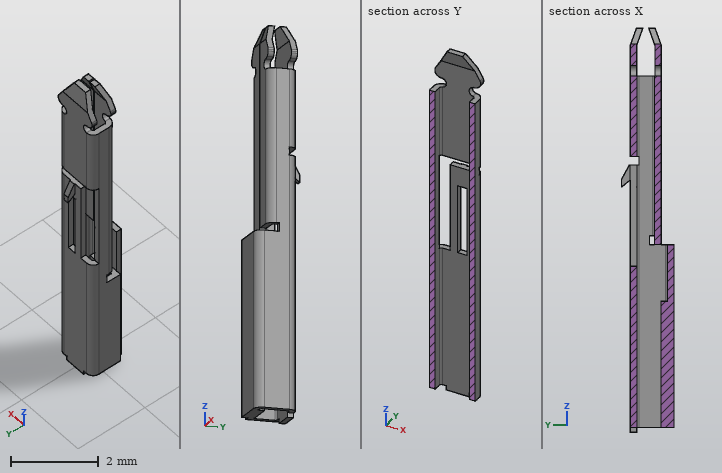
import cadquery as cq
import math


sheet = 0.15
width = 1.2
half_width = width / 2
outer_radius = 0.2
inner_radius = outer_radius - sheet
tube_depth = 0.71
box_depth = 1.0
outer_flap_inside = box_depth - sheet
inner_flap_inside = outer_flap_inside - sheet
inner_half_width = half_width - sheet
wall_split = 0.44
seam_width = 0.04

tip_top = 9.12
tip_bend = 8.73
tube_top = 8.03
right_front_end = 4.38
box_top = 4.18
left_corner_end = 3.14
inner_flap_top = 2.89
slit_top = 6.19
tongue_top = 6.0
tongue_root = 3.69

tip_half_width = 0.205
tip_inset = 0.14
shoulder_half_width = 0.585
shoulder_z = 8.5
lobe_widest_z = 8.41
lobe_end_half_width = 0.53
lobe_end_z = 8.3
lobe_bottom_z = 8.265
neck_half_width = half_width - outer_radius
notch_depth = 0.1

tongue_left = -0.2
slot_left = 0.0
slot_right = 0.24
barb_left = 0.01
barb_right = barb_left + sheet
barb_reach = 0.2
barb_ledge = 0.02
barb_outer_top = 5.67
barb_outer_bottom = 5.49
barb_root = 5.65

inner_flap_right = 0.3
outer_flap_left = -inner_half_width
end_tab_half_width = 0.3
end_tab_length = 0.11


def block(x_range, y_range, z_range):
    """Axis-aligned block between the given limits."""
    lows, highs = zip(x_range, y_range, z_range)
    size = [high - low for low, high in zip(lows, highs)]
    return cq.Workplane("XY").box(*size, centered=False).translate(lows)


def rounded_bar(bar_width, depth, back, radius, height):
    """Upright bar with rounded vertical edges, centred on X, from Z = 0 upward."""
    return (
        cq.Workplane("XY")
        .center(0, back - depth / 2)
        .rect(bar_width, depth)
        .extrude(height)
        .edges("|Z")
        .fillet(radius)
    )


def make_tube():
    """Rolled tube, with its front removed in steps towards the box."""
    tube = rounded_bar(width, tube_depth, 0, outer_radius, tube_top)
    bore = rounded_bar(2 * inner_half_width, tube_depth - 2 * sheet, -sheet, inner_radius, tube_top)
    front = (-tube_depth, -wall_split)
    right_relief = block((0, half_width), front, (0, right_front_end))
    front_relief = block((-inner_half_width, half_width), front, (0, box_top))
    corner_relief = block((-half_width, 0), front, (0, left_corner_end))
    return tube.cut(bore).cut(right_relief).cut(front_relief).cut(corner_relief)


def cut_tongue(body):
    """Free the tongue in the back wall: a slit above it, the left corner and a slot beside it."""
    back = (-outer_radius, 0)
    slit = block((-half_width, half_width), back, (tongue_top, slit_top))
    left_gap = block((-half_width, tongue_left), back, (tongue_root, tongue_top))
    right_slot = block((slot_left, slot_right), back, (tongue_root, barb_outer_bottom))
    return body.cut(slit).cut(left_gap).cut(right_slot)


def make_barb():
    """Plate standing out of the back of the tongue, with a sloped lead-in and an undercut."""
    return (
        cq.Workplane("YZ", origin=(barb_left, 0, 0))
        .moveTo(-sheet, tongue_top)
        .lineTo(barb_ledge, tongue_top)
        .lineTo(barb_reach, barb_outer_top)
        .lineTo(barb_reach, barb_outer_bottom)
        .lineTo(0, barb_root)
        .lineTo(-sheet, barb_root)
        .close()
        .extrude(barb_right - barb_left)
    )


def make_outer_wrap():
    """Right wall of the box, turned round the front corner into the outer flap."""
    bend = math.sqrt(0.5)
    bend_x = half_width - outer_radius
    bend_y = outer_radius - box_depth
    outer_mid = (bend_x + outer_radius * bend, bend_y - outer_radius * bend)
    inner_mid = (bend_x + inner_radius * bend, bend_y - inner_radius * bend)
    return (
        cq.Workplane("XY")
        .moveTo(half_width, -wall_split)
        .lineTo(half_width, bend_y)
        .threePointArc(outer_mid, (bend_x, -box_depth))
        .lineTo(outer_flap_left, -box_depth)
        .lineTo(outer_flap_left, -outer_flap_inside)
        .lineTo(bend_x, -outer_flap_inside)
        .threePointArc(inner_mid, (inner_half_width, bend_y))
        .lineTo(inner_half_width, -wall_split)
        .close()
        .extrude(box_top)
    )


def make_inner_wrap():
    """Left wall of the box with the square-cornered inner flap."""
    height = (0, inner_flap_top)
    wall = block((-half_width, -inner_half_width), (-outer_flap_inside, -wall_split), height)
    flap = block((-half_width, inner_flap_right), (-outer_flap_inside, -inner_flap_inside), height)
    return wall.union(flap)


def trace_tip_side(outline):
    """Draw the right side of the tip, from the top down to the tube."""
    notch_z = (lobe_bottom_z + tube_top) / 2
    return (
        outline
        .lineTo(shoulder_half_width, shoulder_z)
        .threePointArc((half_width, lobe_widest_z), (lobe_end_half_width, lobe_end_z))
        .tangentArcPoint((neck_half_width, lobe_bottom_z), relative=False)
        .threePointArc((neck_half_width - notch_depth, notch_z), (neck_half_width, tube_top))
    )


def make_prongs():
    """Back and front prongs, leaning towards each other above the tip bend."""
    half = trace_tip_side(cq.Workplane("XZ").moveTo(0, tip_top).lineTo(tip_half_width, tip_top))
    half = half.lineTo(0, tube_top).close().extrude(tube_depth)
    outline = half.union(half.mirror("YZ"))
    back_prong = (
        cq.Workplane("YZ", origin=(-half_width, 0, 0))
        .moveTo(0, tube_top)
        .lineTo(0, tip_bend)
        .lineTo(-tip_inset, tip_top)
        .lineTo(-tip_inset - sheet, tip_top)
        .lineTo(-sheet, tip_bend)
        .lineTo(-sheet, tube_top)
        .close()
        .extrude(width)
    )
    front_prong = back_prong.mirror("XZ", (0, -tube_depth / 2, 0))
    return outline.intersect(back_prong.union(front_prong))


def cut_seam(body):
    """Narrow gap down the middle of the front, where the rolled edges face each other."""
    seam = block(
        (-seam_width / 2, seam_width / 2), (-tube_depth, -tube_depth / 2), (box_top, tip_top)
    )
    return body.cut(seam)


end_tab = block((-end_tab_half_width, end_tab_half_width), (-sheet, 0), (-end_tab_length, 0))
upper_body = cut_seam(make_tube().union(make_prongs()))
body = cut_tongue(upper_body).union(make_barb())
result = body.union(make_outer_wrap()).union(make_inner_wrap()).union(end_tab)